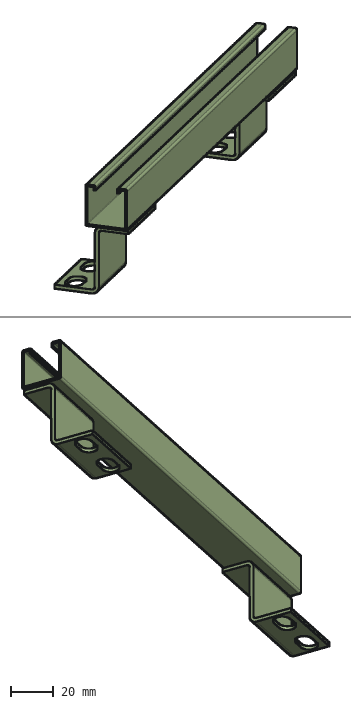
import cadquery as cq

overall_width = 36.8
overall_length = 228.5
overall_height = 54.9

rail_width = 20.8
rail_height = 20.8
rail_wall = 1.0
rail_bend_radius = 1.1
lip_width = 5.0
lip_depth = 2.5

bracket_length = 36.5
bracket_sheet = 2.0
bracket_bend_radius = 3.7
bracket_top_width = 16.7
bracket_end_inset = 1.5

slot_width = 8.5
slot_length = 13.0
slot_pitch = 20.8
slot_edge_distance = 7.8

rail_right = overall_width
rail_left = rail_right - rail_width
rail_base = overall_height - rail_height
web_left = overall_width - bracket_top_width
bracket_offset = (overall_length - bracket_length) / 2 - bracket_end_inset


def bent_sheet(centerline, bend_radius, thickness, length):
    """Thicken a chain of straight runs with rounded bends, centred on Y = 0.

    The chain lies in the XZ plane and runs along the middle of the sheet;
    bend_radius is the radius on the outside of each bend.
    """
    half = thickness / 2
    runs = cq.Wire.makePolygon([cq.Vector(x, 0, z) for x, z in centerline])
    bends = runs.Vertices()[1:-1]
    path = runs.fillet(bend_radius - half, bends)
    start_x, start_z = centerline[0]
    next_x, next_z = centerline[1]
    direction = cq.Vector(next_x - start_x, 0, next_z - start_z)
    section = cq.Plane(origin=(start_x, 0, start_z), xDir=(0, 1, 0), normal=direction)
    return cq.Workplane(section).rect(length, thickness).sweep(path)


def make_rail():
    """Channel with two inward lips that turn down at their free edges."""
    half = rail_wall / 2
    left = rail_left + half
    right = rail_right - half
    bottom = rail_base + half
    top = overall_height - half
    left_lip = rail_left + lip_width - half
    right_lip = rail_right - lip_width + half
    lip_end = overall_height - lip_depth
    centerline = [
        (left_lip, lip_end),
        (left_lip, top),
        (left, top),
        (left, bottom),
        (right, bottom),
        (right, top),
        (right_lip, top),
        (right_lip, lip_end),
    ]
    return bent_sheet(centerline, rail_bend_radius, rail_wall, overall_length)


def make_bracket(y_center):
    """Z-bent bracket: slotted foot, upright web and a flange under the rail."""
    half = bracket_sheet / 2
    web = web_left + half
    flange = rail_base - half
    centerline = [(0, half), (web, half), (web, flange), (overall_width, flange)]
    bracket = bent_sheet(centerline, bracket_bend_radius, bracket_sheet, bracket_length)
    slots = (
        cq.Workplane("XY")
        .center(slot_edge_distance, 0)
        .rarray(2.3, slot_pitch, 1, 2)
        .slot2D(slot_length, slot_width, 90)
        .extrude(bracket_sheet)
    )
    return bracket.cut(slots).translate((0, y_center, 0))


rail = make_rail()
brackets = [make_bracket(side * bracket_offset) for side in (-1, 1)]
result = cq.Compound.makeCompound([rail.val(), *[bracket.val() for bracket in brackets]])